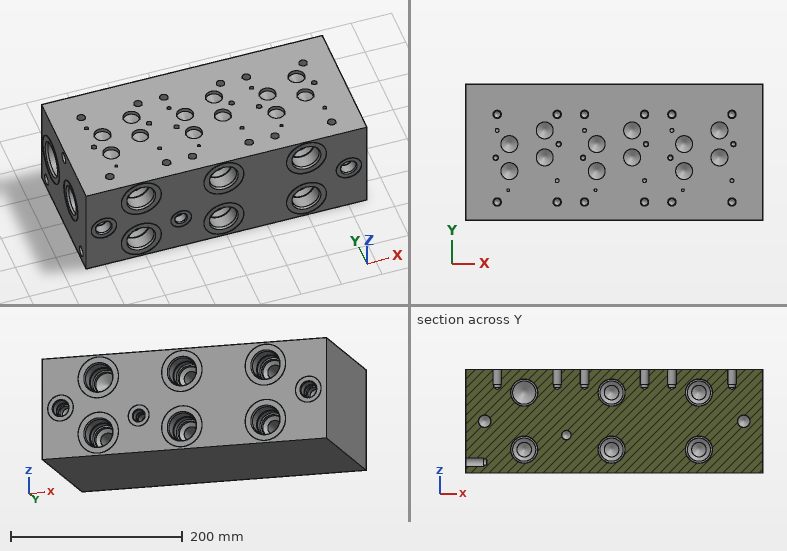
import cadquery as cq
import math

LENGTH = 346.0
WIDTH = 159.0
HEIGHT = 120.8
MID_HEIGHT = HEIGHT / 2

DRILL_POINT_ANGLE = 118.0
OVERSHOOT = 3.5

STATION_COUNT = 3
STATION_PITCH = 101.7
FIRST_STATION_X = 36.7

SCREW_SPACING_X = 70.0
SCREW_FRONT_Y = 21.5
SCREW_SPACING_Y = 102.0
SCREW_PLACES = [(dx, SCREW_FRONT_Y + dy) for dx in (0, SCREW_SPACING_X) for dy in (0, SCREW_SPACING_Y)]
SCREW_THREAD = dict(major=9.7, minor=8.0, thread_depth=17.3, drill_depth=20.8)

PASSAGE_PLACES = [(14.2, 89.0), (14.2, 57.5), (55.5, 105.0), (55.5, 73.5)]
PASSAGE_DIAMETER = 19.7
PASSAGE_DEPTH = 5.0

SMALL_SCREW_PLACES = [(-1.7, 73.0), (71.5, 89.0)]
SMALL_SCREW_THREAD = dict(major=6.2, minor=5.2, thread_depth=10.5, drill_depth=14.0)

CONTROL_HOLE_PLACES = [(0, 105.0), (SCREW_SPACING_X, 46.5)]
CONTROL_HOLE_DIAMETER = 4.5
LOCATING_HOLE_PLACE = (12.8, 35.3)
LOCATING_HOLE_DIAMETER = 3.2
SMALL_HOLE_DEPTH = 10.5

WORK_PORT_OFFSET = 31.5
PORT_A_Z = 27.5
PORT_B_Z = 93.8
PILOT_DIAMETER = 17.0
PILOT_DEPTH = 83.0

DRAIN_INSET = 22.0
GAUGE_X = 117.3
GAUGE_Z = 44.3

TANK_Y = 126.0
PRESSURE_Y = 55.5
END_SCREW_SIDE_INSET = 17.3
END_SCREW_EDGE_INSET = 12.8
END_SCREW_PLACES = [
    (END_SCREW_SIDE_INSET, END_SCREW_EDGE_INSET),
    (WIDTH - END_SCREW_SIDE_INSET, END_SCREW_EDGE_INSET),
    (WIDTH / 2, HEIGHT - END_SCREW_EDGE_INSET),
]
END_SCREW_THREAD = dict(major=12.8, minor=10.7, thread_depth=20.8, drill_depth=24.2)

SPOTFACE_DEPTH = 0.7
GALLERY_DEPTH = 311.5
MEDIUM_PORT = dict(
    spotface=49.0, seat=35.5, thread=33.2, core=31.0, bore=27.0,
    seat_depth=3.5, thread_depth=19.7, core_depth=29.5,
)
WORK_PORT = dict(MEDIUM_PORT, bore_depth=34.5)
PRESSURE_PORT = dict(MEDIUM_PORT, bore_depth=GALLERY_DEPTH)
TANK_PORT = dict(
    spotface=59.0, seat=43.5, thread=41.2, core=39.5, bore=35.5,
    seat_depth=3.5, thread_depth=19.7, core_depth=23.5, bore_depth=GALLERY_DEPTH,
)
DRAIN_PORT = dict(
    spotface=31.0, seat=20.5, thread=19.0, core=17.3, bore=14.2,
    seat_depth=2.8, thread_depth=14.5, core_depth=20.8, bore_depth=31.0,
)
GAUGE_PORT = dict(
    spotface=25.3, seat=15.5, thread=14.2, core=12.8, bore=10.7,
    seat_depth=2.5, thread_depth=12.0, core_depth=17.3, bore_depth=31.0,
)


def point_length(diameter_change):
    """Depth over which a drill point narrows by the given diameter."""
    return diameter_change / 2 / math.tan(math.radians(DRILL_POINT_ANGLE / 2))


def revolved(steps):
    """Cutter along -Z from (diameter, depth) steps, ending in a drill point on the last diameter."""
    last_diameter, last_depth = steps[-1]
    outline = [(0, OVERSHOOT), (steps[0][0] / 2, OVERSHOOT)]
    outline += [(diameter / 2, -depth) for diameter, depth in steps]
    outline += [(0, -last_depth - point_length(last_diameter))]
    return cq.Workplane("XZ").polyline(outline).close().revolve(360, (0, 0, 0), (0, 1, 0))


def drilled(diameter, depth):
    """Plain blind drilled hole."""
    return revolved([(diameter, depth)])


def tapped(major, minor, thread_depth, drill_depth):
    """Thread at its major diameter above the drilled core hole."""
    return revolved([(major, thread_depth), (minor, thread_depth), (minor, drill_depth)])


def fluid_port(
    spotface, seat, thread, core, bore, seat_depth, thread_depth, core_depth, bore_depth,
    pilot=0, pilot_depth=0,
):
    """Spotface, tapered seal seat, thread, thread core, drilled bore and optional pilot hole."""
    steps = [
        (spotface, SPOTFACE_DEPTH),
        (seat, SPOTFACE_DEPTH),
        (thread, seat_depth),
        (thread, thread_depth),
        (core, thread_depth),
        (core, core_depth),
        (bore, core_depth),
        (bore, bore_depth),
    ]
    if pilot:
        steps += [(pilot, bore_depth + point_length(bore - pilot)), (pilot, pilot_depth)]
    return revolved(steps)


def on_top(cutter, x, y):
    return cutter.translate((x, y, HEIGHT))


def on_front(cutter, x, z):
    return cutter.rotate((0, 0, 0), (1, 0, 0), 90).translate((x, 0, z))


def on_left(cutter, y, z):
    return cutter.rotate((0, 0, 0), (0, 1, 0), -90).translate((0, y, z))


def valve_interface(station_x):
    """Cutters of one valve station on the top face."""
    patterns = [
        (tapped(**SCREW_THREAD), SCREW_PLACES),
        (drilled(PASSAGE_DIAMETER, PASSAGE_DEPTH), PASSAGE_PLACES),
        (tapped(**SMALL_SCREW_THREAD), SMALL_SCREW_PLACES),
        (drilled(CONTROL_HOLE_DIAMETER, SMALL_HOLE_DEPTH), CONTROL_HOLE_PLACES),
        (drilled(LOCATING_HOLE_DIAMETER, SMALL_HOLE_DEPTH), [LOCATING_HOLE_PLACE]),
    ]
    return [on_top(cutter, station_x + dx, y) for cutter, places in patterns for dx, y in places]


def work_ports(station_x, upper_pilot):
    """Ports A and B of one station; port A, and port B on request, continue as a pilot hole."""
    x = station_x + WORK_PORT_OFFSET
    piloted = fluid_port(**WORK_PORT, pilot=PILOT_DIAMETER, pilot_depth=PILOT_DEPTH)
    upper = piloted if upper_pilot else fluid_port(**WORK_PORT)
    return [on_front(piloted, x, PORT_A_Z), on_front(upper, x, PORT_B_Z)]


def drain_and_gauge_ports():
    drain = fluid_port(**DRAIN_PORT)
    cutters = [on_front(drain, x, MID_HEIGHT) for x in (DRAIN_INSET, LENGTH - DRAIN_INSET)]
    cutters.append(on_front(fluid_port(**GAUGE_PORT), GAUGE_X, GAUGE_Z))
    return cutters


def left_face_holes():
    cutters = [
        on_left(fluid_port(**TANK_PORT), TANK_Y, MID_HEIGHT),
        on_left(fluid_port(**PRESSURE_PORT), PRESSURE_Y, MID_HEIGHT),
    ]
    cutters += [on_left(tapped(**END_SCREW_THREAD), y, z) for y, z in END_SCREW_PLACES]
    return cutters


all_cutters = drain_and_gauge_ports() + left_face_holes()
for station in range(STATION_COUNT):
    x_station = FIRST_STATION_X + station * STATION_PITCH
    all_cutters += valve_interface(x_station)
    all_cutters += work_ports(x_station, upper_pilot=station > 0)

block = cq.Workplane("XY").box(LENGTH, WIDTH, HEIGHT, centered=False)
cutter_group = cq.Compound.makeCompound([cutter.val() for cutter in all_cutters])
drilled_block = block.val().cut(cutter_group)
result = cq.Workplane("XY").newObject(drilled_block.Solids())